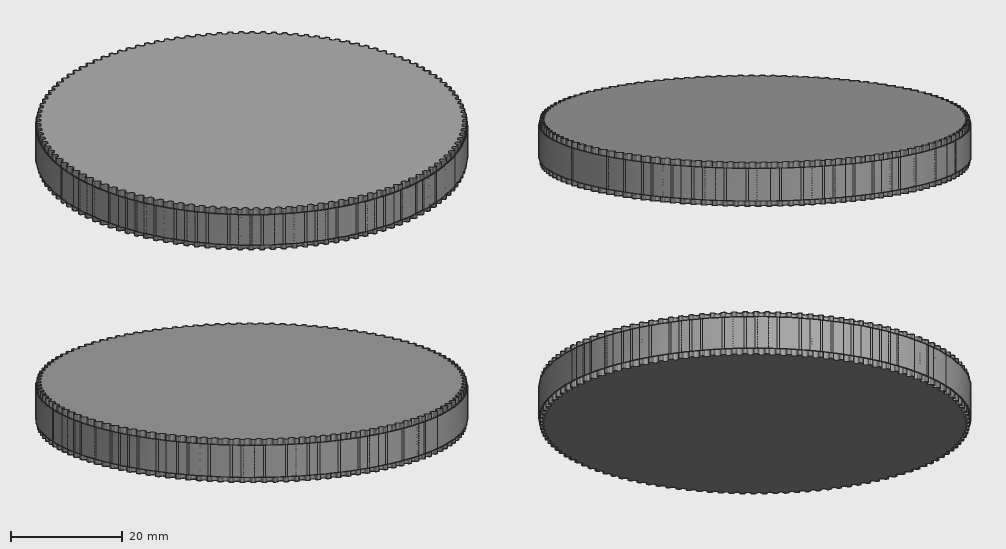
import cadquery as cq
import math

tooth_count = 122
tooth_pitch = 2.0
disc_height = 8.0
band_height = 6.0
pitch_line_offset = 0.254

groove_depth = 0.75
flank_radius = 1.0
flank_offset = 0.385
tip_round = 0.17

pitch_radius = tooth_count * tooth_pitch / (2 * math.pi)
tip_radius = pitch_radius - pitch_line_offset
pitch_angle = 2 * math.pi / tooth_count


def polar(radius, angle):
    return (radius * math.cos(angle), radius * math.sin(angle))


def step_from(start, target, distance):
    """Point at the given distance from start, heading for target."""
    scale = distance / math.dist(start, target)
    return tuple(a + (b - a) * scale for a, b in zip(start, target))


def turned(point, angle):
    return polar(math.hypot(*point), math.atan2(point[1], point[0]) + angle)


def mirrored(point):
    return (point[0], -point[1])


root_radius = (flank_radius**2 - flank_offset**2 - groove_depth**2) / (2 * (flank_radius - groove_depth))
root_bottom = (tip_radius - groove_depth, 0)
root_center = (root_bottom[0] + root_radius, 0)
flank_center = (tip_radius, -flank_offset)

round_center_radius = tip_radius - tip_round
flank_center_radius = math.hypot(*flank_center)
center_spacing = flank_radius + tip_round
round_angle_cosine = (round_center_radius**2 + flank_center_radius**2 - center_spacing**2) / (
    2 * round_center_radius * flank_center_radius
)
tip_angle = math.acos(round_angle_cosine) + math.atan2(flank_center[1], flank_center[0])
round_center = polar(round_center_radius, tip_angle)

root_end = step_from(flank_center, root_center, flank_radius)
flank_end = step_from(flank_center, round_center, flank_radius)
tip_end = polar(tip_radius, tip_angle)


def between(center, radius, start, end):
    """Middle point of the short arc from start to end."""
    chord_middle = tuple((a + b) / 2 for a, b in zip(start, end))
    return step_from(center, chord_middle, radius)


flank_middle = between(flank_center, flank_radius, root_end, flank_end)
round_middle = between(round_center, tip_round, flank_end, tip_end)


def make_toothed_disc():
    outline = cq.Workplane("XY").workplane(offset=-disc_height / 2).moveTo(*mirrored(tip_end))
    for index in range(tooth_count):
        angle = index * pitch_angle
        arcs = [
            (mirrored(round_middle), mirrored(flank_end)),
            (mirrored(flank_middle), mirrored(root_end)),
            (root_bottom, root_end),
            (flank_middle, flank_end),
            (round_middle, tip_end),
            (polar(tip_radius, pitch_angle / 2), turned(mirrored(tip_end), pitch_angle)),
        ]
        for middle, end in arcs:
            outline = outline.threePointArc(turned(middle, angle), turned(end, angle))
    return outline.close().extrude(disc_height)


def make_band():
    return (
        cq.Workplane("XY")
        .workplane(offset=-band_height / 2)
        .circle(pitch_radius)
        .circle(tip_radius)
        .extrude(band_height)
    )


result = make_toothed_disc().union(make_band())